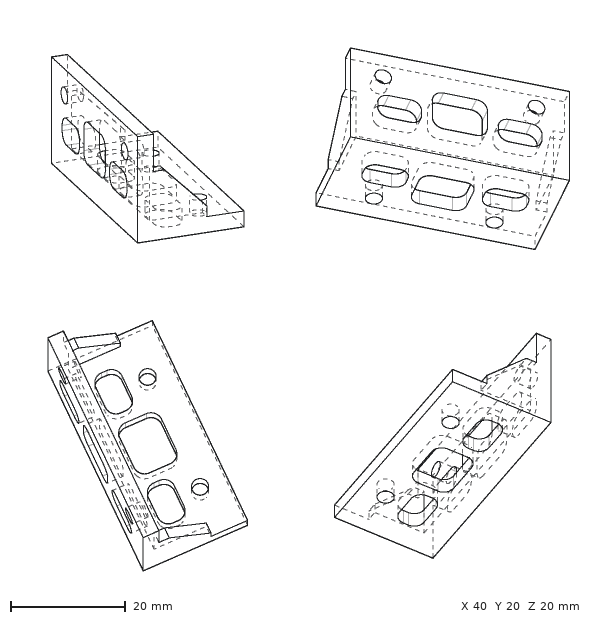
import cadquery as cq

length = 40.0
leg = 20.0
plate_thickness = 3.0

gusset_thickness = 2.0
gusset_reach = 13.0
gusset_shoulder = 5.0

window_bottom = 6.0
window_width = 10.0
window_height = 8.0
slot_width = 8.0
slot_height = 5.0
slot_offset = 11.0
corner_radius = 2.0

hole_diameter = 3.0
hole_height = 15.0
wall_hole_offset = 14.0
base_hole_offset = 11.0


def rounded_cutter(center_x, width, height):
    """Vertical cutter through the base, starting at the window bottom line."""
    return (
        cq.Workplane("XY")
        .center(center_x, window_bottom + height / 2)
        .rect(width, height)
        .extrude(plate_thickness)
        .edges("|Z")
        .fillet(corner_radius)
    )


def plate(hole_offset):
    """Horizontal plate with its window, two slots and two screw holes."""
    body = cq.Workplane("XY").box(length, leg, plate_thickness, centered=(True, False, False))
    body = body.cut(rounded_cutter(0, window_width, window_height))
    for side in (-1, 1):
        body = body.cut(rounded_cutter(side * slot_offset, slot_width, slot_height))
        hole = (
            cq.Workplane("XY")
            .center(side * hole_offset, hole_height)
            .circle(hole_diameter / 2)
            .extrude(plate_thickness)
        )
        body = body.cut(hole)
    return body


def gusset(start_x):
    """Triangular end web with a short square shoulder at each plate."""
    profile = [
        (0, 0),
        (gusset_reach, 0),
        (gusset_reach, gusset_shoulder),
        (gusset_shoulder, gusset_reach),
        (0, gusset_reach),
    ]
    return cq.Workplane("YZ", origin=(start_x, 0, 0)).polyline(profile).close().extrude(gusset_thickness)


base = plate(base_hole_offset)

wall = (
    plate(wall_hole_offset)
    .rotate((0, 0, 0), (1, 0, 0), 90)
    .translate((0, plate_thickness, 0))
)

result = base.union(wall)
for gusset_start in (-length / 2, length / 2 - gusset_thickness):
    result = result.union(gusset(gusset_start))
result = result.clean()